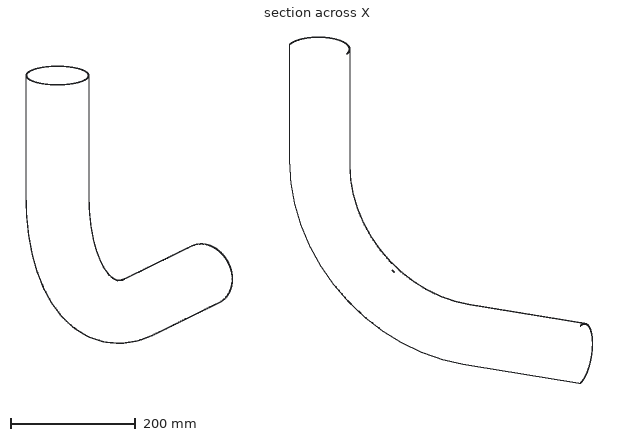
import cadquery as cq

outer_diameter = 101.5
inner_diameter = 98.5
leg_length = 203.0
bend_radius = 254.0



def swept_rod(diameter):
    """Solid rod: vertical leg, quarter bend, then horizontal leg along +Y."""
    vertical_leg = (
        cq.Workplane("XY")
        .center(0, -bend_radius)
        .circle(diameter / 2)
        .extrude(leg_length)
    )
    bend = (
        cq.Workplane("XY")
        .center(0, -bend_radius)
        .circle(diameter / 2)
        .revolve(90, (0, bend_radius, 0), (1, bend_radius, 0))
    )
    horizontal_leg = (
        cq.Workplane("XZ")
        .center(0, -bend_radius)
        .circle(diameter / 2)
        .extrude(-leg_length)
    )
    return vertical_leg.union(bend).union(horizontal_leg)


result = swept_rod(outer_diameter).cut(swept_rod(inner_diameter))